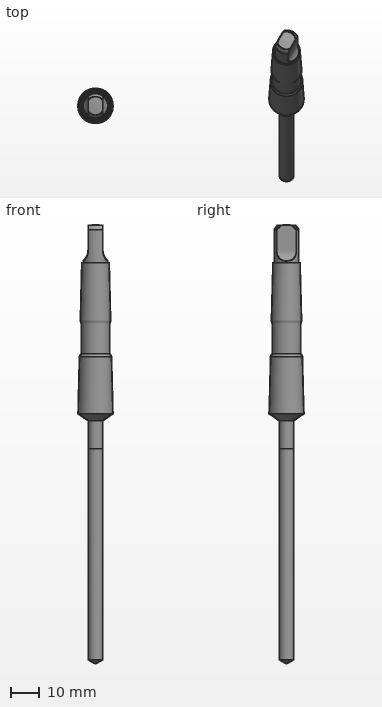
import cadquery as cq

overall_length = 152.4
drill_diameter = 5.2
point_height = 1.5
cutting_length = 74.7

shoulder_bottom = 84.5
taper_bottom = 86.9
taper_large_diameter = 12.2
taper_rate = 0.05
taper_top = 139.3

groove_diameter = 10.0
groove_bottom = 106.7
groove_top = 119.2
groove_slope_height = 0.9

tang_diameter = 8.5
tang_thickness = 5.2
tang_chamfer_width = 1.0
tang_chamfer_height = 1.5
tang_cone_height = 0.23
flat_bottom = 143.5
flat_runout_radius = 5.0

drill_radius = drill_diameter / 2
groove_radius = groove_diameter / 2
tang_radius = tang_diameter / 2
cone_radius = tang_radius - tang_chamfer_width
cone_bottom = overall_length - tang_cone_height


def taper_radius(height):
    """Radius of the Morse taper at a height along Z."""
    return (taper_large_diameter - taper_rate * (height - taper_bottom)) / 2


def revolve_profile(points):
    """Turn a closed (radius, height) outline around the Z axis."""
    return cq.Workplane("XZ").polyline(points).close().revolve(360, (0, 0), (0, 1))


def make_cutting_end():
    """Cylindrical cutting end with a conical point."""
    return revolve_profile([
        (0, 0),
        (drill_radius, point_height),
        (drill_radius, cutting_length),
        (0, cutting_length),
    ])


def make_tang_cutter():
    """Material beside the +X tang flat, with a round run-out at its lower end."""
    flat_x = tang_thickness / 2
    runout_center_x = flat_x + flat_runout_radius
    cutter_height = overall_length - flat_bottom
    block = cq.Workplane("XY").box(
        flat_runout_radius, taper_large_diameter, cutter_height, centered=(False, True, False)
    ).translate((flat_x, 0, flat_bottom))
    runout = (
        cq.Workplane("XZ")
        .center(runout_center_x, flat_bottom)
        .circle(flat_runout_radius)
        .extrude(taper_large_diameter / 2, both=True)
    )
    return block.union(runout)


def make_shank():
    """Neck, shoulder, grooved taper and tang with a shallow conical end in one solid."""
    shank = revolve_profile([
        (0, cutting_length),
        (drill_radius, cutting_length),
        (drill_radius, shoulder_bottom),
        (taper_radius(taper_bottom), taper_bottom),
        (taper_radius(groove_bottom), groove_bottom),
        (groove_radius, groove_bottom + groove_slope_height),
        (groove_radius, groove_top - groove_slope_height),
        (taper_radius(groove_top), groove_top),
        (taper_radius(taper_top), taper_top),
        (tang_radius, taper_top),
        (tang_radius, cone_bottom - tang_chamfer_height),
        (cone_radius, cone_bottom),
        (0, overall_length),
    ])
    cutter = make_tang_cutter()
    return shank.cut(cutter).cut(cutter.mirror("YZ"))


cutting_end = make_cutting_end()
shank = make_shank()
result = cq.Compound.makeCompound([cutting_end.val(), shank.val()])